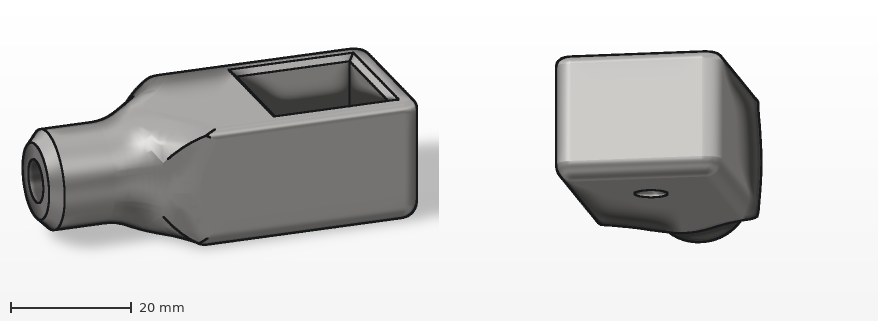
import cadquery as cq
import math

width = 28.1
length = 63.1
height = 21.0
tip_y = -length / 2
back_y = length / 2

neck_diameter = 17.0
neck_chamfer = 2.0
neck_length = 11.0
flare_radius = 10.05
blend_radius = 8.0
bore_diameter = 7.3

corner_round = 2.95
bottom_round = 2.9
top_round = 1.5

pocket_size = 20.0
pocket_rim_chamfer = 1.0
pocket_back_wall = 4.05
floor_thickness = 5.0
screw_diameter = 5.5

neck_radius = neck_diameter / 2
flare_start_y = tip_y + neck_length
flare_end_y = flare_start_y + flare_radius
flare_outer_radius = neck_radius + flare_radius
pocket_y = back_y - pocket_back_wall - pocket_size / 2
pocket_depth = height - floor_thickness


def turned_envelope():
    """Revolved neck, chamfered tip and flare, reaching past the block corners."""
    arc_mid = flare_radius * math.sqrt(0.5)
    profile = (
        cq.Workplane("XY")
        .moveTo(0, tip_y)
        .lineTo(neck_radius - neck_chamfer, tip_y)
        .lineTo(neck_radius, tip_y + neck_chamfer)
        .lineTo(neck_radius, flare_start_y)
        .threePointArc(
            (flare_outer_radius - arc_mid, flare_start_y + arc_mid),
            (flare_outer_radius, flare_end_y),
        )
        .lineTo(flare_outer_radius, back_y)
        .lineTo(0, back_y)
        .close()
    )
    return profile.revolve(360, (0, 0, 0), (0, 1, 0))


def blended_shell():
    """Sharp-edged block trimmed by the flare, with a convex blend where they meet."""
    shell = cq.Workplane("XY").box(width, length, height).intersect(turned_envelope())
    flare_zone = cq.selectors.BoxSelector(
        (-width, flare_start_y, -height), (width, flare_end_y, height)
    )
    meeting_edges = shell.edges(flare_zone).edges("%BSPLINE")
    return meeting_edges.fillet(blend_radius)


def rounded_block():
    """Block with rounded back corners, top edges and bottom edges."""
    block = cq.Workplane("XY").box(width, length, height)
    block = block.edges("|Z and >Y").fillet(corner_round)
    block = block.faces("<Z").edges("not <Y").fillet(bottom_round)
    return block.faces(">Z").edges("not <Y").fillet(top_round)


def pocket():
    """Square pocket cutter with a chamfered rim at the top face."""
    top = cq.Workplane("XY").center(0, pocket_y).workplane(offset=height / 2)
    cavity = top.rect(pocket_size, pocket_size).extrude(-pocket_depth)
    opening = pocket_size + 2 * pocket_rim_chamfer
    rim = top.rect(opening, opening).extrude(-pocket_rim_chamfer, taper=45)
    return cavity.union(rim)


def screw_hole():
    """Vertical hole through the pocket floor."""
    bottom = cq.Workplane("XY").center(0, pocket_y).workplane(offset=-height / 2)
    return bottom.circle(screw_diameter / 2).extrude(pocket_depth)


def neck_bore():
    """Axial bore from the neck tip into the pocket."""
    tip = cq.Workplane("XZ", origin=(0, tip_y, 0))
    bore_length = pocket_y - tip_y
    return tip.circle(bore_diameter / 2).extrude(-bore_length)


body = blended_shell().intersect(rounded_block())
result = body.cut(pocket()).cut(screw_hole()).cut(neck_bore())